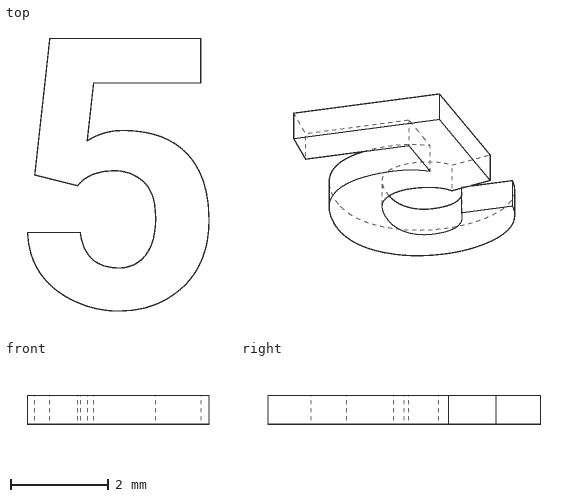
import cadquery as cq

width = 3.74
height = 5.61
thickness = 0.6

flag_left = 0.46
flag_right = 3.57
flag_depth = 0.92
flag_underside = height - flag_depth
stem_inner_top = (1.365, flag_underside)
stem_foot = (0.15, 2.80)
neck = (1.235, 3.51)
heel = (1.03, 2.58)

tip_level = 1.62
bottom_y = 0
top_y = 3.72
right_x = width
opening_bottom_y = 0.89
opening_top_y = 2.89
opening_right_x = 2.64

tip_outer = (0, tip_level)
tip_inner = (1.09, tip_level)
bowl_bottom = (1.88, bottom_y)
bowl_right = (right_x, 1.88)
bowl_top = (1.96, top_y)
opening_top = (1.80, opening_top_y)
opening_right = (opening_right_x, 1.91)
opening_bottom = (1.89, opening_bottom_y)

outer_tip_to_bottom = [(0.025, 1.12), (0.515, 0.42), (1.395, bottom_y)]
outer_bottom_to_right = [(2.45, bottom_y), (3.31, 0.51), (right_x, 1.325)]
outer_right_to_top = [(right_x, 2.765), (2.83, top_y)]
outer_top_to_neck = [(1.57, top_y)]

inner_heel_to_top = [(1.27, opening_top_y)]
inner_top_to_right = [(2.14, opening_top_y), (opening_right_x, 2.44)]
inner_right_to_bottom = [(opening_right_x, 1.42), (2.23, opening_bottom_y)]
inner_bottom_to_tip = [(1.525, opening_bottom_y), (1.13, 1.265)]


def add_smooth_curve(outline, start, controls, end):
    """Append tangent-continuous quadratic curves that join midway between control points."""
    joints = [start]
    for (x1, y1), (x2, y2) in zip(controls, controls[1:]):
        joints.append(((x1 + x2) / 2, (y1 + y2) / 2))
    joints.append(end)
    for joint, control, next_joint in zip(joints, controls, joints[1:]):
        outline = outline.bezier([joint, control, next_joint])
    return outline


def add_outer_bowl(outline):
    """Outer edge of the bowl, counterclockwise from the open tip to the neck."""
    outline = add_smooth_curve(outline, tip_outer, outer_tip_to_bottom, bowl_bottom)
    outline = add_smooth_curve(outline, bowl_bottom, outer_bottom_to_right, bowl_right)
    outline = add_smooth_curve(outline, bowl_right, outer_right_to_top, bowl_top)
    return add_smooth_curve(outline, bowl_top, outer_top_to_neck, neck)


def add_inner_bowl(outline):
    """Inner edge of the bowl, clockwise from the heel to the open tip."""
    outline = add_smooth_curve(outline, heel, inner_heel_to_top, opening_top)
    outline = add_smooth_curve(outline, opening_top, inner_top_to_right, opening_right)
    outline = add_smooth_curve(outline, opening_right, inner_right_to_bottom, opening_bottom)
    return add_smooth_curve(outline, opening_bottom, inner_bottom_to_tip, tip_inner)


def add_flag_and_stem(outline):
    """Straight edges from the neck around the flag and down the stem to the heel."""
    return (
        outline.lineTo(*stem_inner_top)
        .lineTo(flag_right, flag_underside)
        .lineTo(flag_right, height)
        .lineTo(flag_left, height)
        .lineTo(*stem_foot)
        .lineTo(*heel)
    )


digit = cq.Workplane("XY").moveTo(*tip_outer)
digit = add_outer_bowl(digit)
digit = add_flag_and_stem(digit)
digit = add_inner_bowl(digit)
result = digit.close().extrude(thickness)